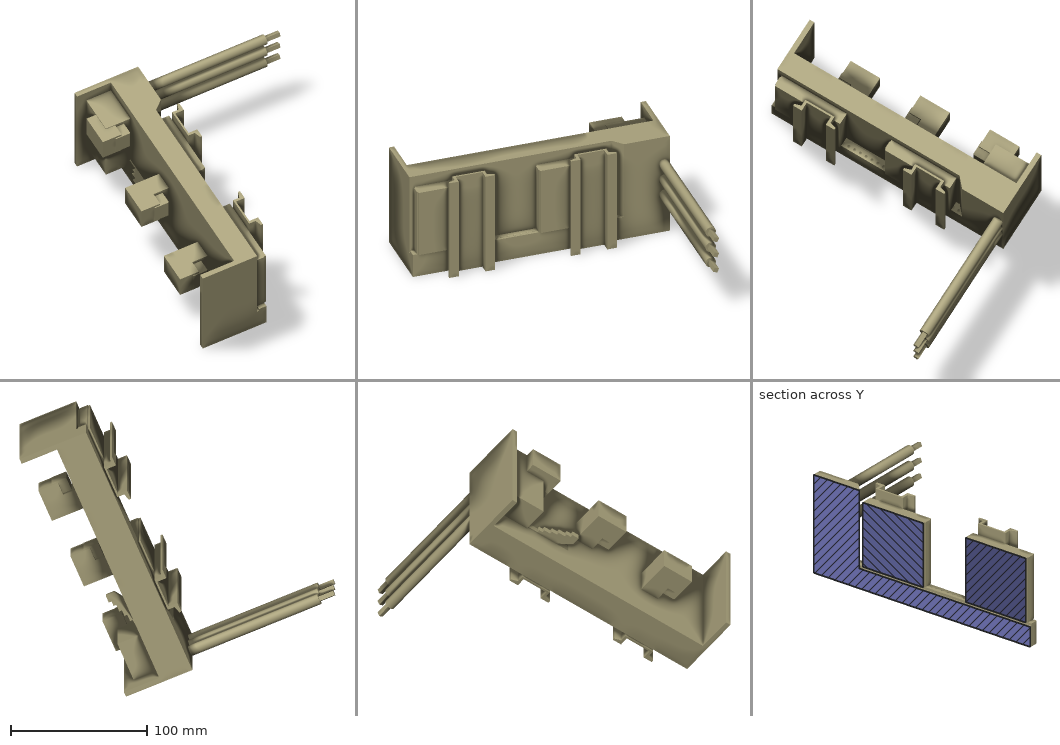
import cadquery as cq

LENGTH = 200.0
HEIGHT = 81.0
BACK_Y = 53.0
PANEL_FRONT_Y = 28.2
PANEL_BACK_Y = 45.2
SIDE_WALL = 4.0

RECESS_TOP_X = 35.5
RECESS_BOTTOM_X = 42.5

MID_BOTTOM_Z = 18.8
MID_TOP_Z = 72.0
BOX_END_X = 34.5
BOX_FRONT_Y = 7.8

GROOVE_WIDTH = 1.5
GROOVE_DEPTH = 2.0
HOLE_DIAMETER = 2.5
HOLE_DEPTH = 1.2
HOLE_PITCH = 5.0
HOLE_COUNT = 32
FIRST_HOLE_X = 40.0
HOLE_Y = 50.5

HOOK_FIRST_X = 18.8
HOOK_PITCH = 60.2
HOOK_BOTTOMS_Z = (53.5, 38.0, 24.0)
HOOK_WIDTH = 25.5
HOOK_HEIGHT = 18.0
HOOK_STEM_WIDTH = 15.2
HOOK_ARM_DEPTH = 15.5

PAD_GAP = 0.8
PAD_OVERHANG = 0.8
PAD_FRONT_Y = 10.5
PAD_BACK_Y = 22.5
PAD_INSET_Z = 1.5
PAD_FILLET = 1.0

LEVER_BOTTOM_Z = 20.5
LEVER_TOP_Z = 24.5
LEVER_STEP_XS = (43.5, 46.5, 51.8, 56.5, 62.0, 65.8)
LEVER_STEP_RISE = 2.2
LEVER_BASE_THICKNESS = 0.8
LEVER_END_X = 71.5
LEVER_SLANT_X = 60.8
LEVER_SLANT_Y = 21.0

POCKET_START_X = 60.0
POCKET_END_X = 72.5
POCKET_TOP_Z = 26.5
POCKET_DEPTH = 0.5

CARRIER_XS = (45.2, 140.0)
CARRIER_LENGTH = 56.2
CARRIER_BACK_Y = 54.5
CARRIER_RIB = 0.5

RAIL_CENTER_OFFSET = 17.5
RAIL_BACK_Y = 63.2
RAIL_HALF_WIDTH = 17.8
RAIL_HALF_OUTER = 12.5
RAIL_HALF_INNER = 10.5
RAIL_FLOOR = 1.5
RAIL_LIP_TIP = 1.5
RAIL_LIP_ROOT = 3.2

WIRE_DIAMETER = 8.0
WIRE_X = 4.5
WIRE_ZS = (32.0, 45.0, 58.0)
WIRE_INSULATION_END_Y = 156.2
WIRE_END_Y = 168.0
CORE_DIAMETER = 5.0
CORE_TILT = -22.0


def block(x0, x1, y0, y1, z0, z1):
    """Axis-aligned block between two opposite corners."""
    return cq.Workplane("XY").box(x1 - x0, y1 - y0, z1 - z0, centered=False).translate((x0, y0, z0))


def prism(points, z0, z1):
    """Outline in X and Y, extruded upward from z0 to z1."""
    return cq.Workplane("XY").workplane(offset=z0).polyline(points).close().extrude(z1 - z0)


def make_shell():
    """Panel with two side walls in front and a recess behind."""
    shell = block(0, LENGTH, 0, BACK_Y, 0, HEIGHT)
    shell = shell.cut(block(SIDE_WALL, LENGTH - SIDE_WALL, 0, PANEL_FRONT_Y, 0, HEIGHT))
    recess = [
        (RECESS_TOP_X, BACK_Y),
        (RECESS_BOTTOM_X, PANEL_BACK_Y),
        (LENGTH, PANEL_BACK_Y),
        (LENGTH, BACK_Y),
    ]
    return shell.cut(prism(recess, MID_BOTTOM_Z, HEIGHT))


def make_ledge_cuts():
    """Groove along the panel and a row of conical holes in the ledge."""
    groove = block(
        RECESS_BOTTOM_X, LENGTH,
        PANEL_BACK_Y, PANEL_BACK_Y + GROOVE_WIDTH,
        MID_BOTTOM_Z - GROOVE_DEPTH, MID_BOTTOM_Z,
    )
    cuts = [groove.val()]
    for i in range(HOLE_COUNT):
        center = cq.Vector(FIRST_HOLE_X + i * HOLE_PITCH, HOLE_Y, MID_BOTTOM_Z)
        cuts.append(cq.Solid.makeCone(HOLE_DIAMETER / 2, 0, HOLE_DEPTH, center, cq.Vector(0, 0, -1)))
    return cq.Workplane(cq.Compound.makeCompound(cuts))


def make_hook(x, z):
    """L-shaped hook with its clamping pad."""
    stem_end_x = x + HOOK_STEM_WIDTH
    arm_end_x = x + HOOK_WIDTH
    outline = [
        (x, 0),
        (arm_end_x, 0),
        (arm_end_x, HOOK_ARM_DEPTH),
        (stem_end_x, HOOK_ARM_DEPTH),
        (stem_end_x, PANEL_FRONT_Y),
        (x, PANEL_FRONT_Y),
    ]
    pad = block(
        stem_end_x + PAD_GAP, arm_end_x + PAD_OVERHANG,
        PAD_FRONT_Y, PAD_BACK_Y,
        z + PAD_INSET_Z, z + HOOK_HEIGHT - PAD_INSET_Z,
    )
    pad = pad.edges("|Z and >X and >Y").fillet(PAD_FILLET)
    return prism(outline, z, z + HOOK_HEIGHT).union(pad)


def make_lever():
    """Lever with a stepped front edge and a slanted rear edge."""
    step_y = PANEL_FRONT_Y - LEVER_BASE_THICKNESS
    outline = [(BOX_END_X, PANEL_FRONT_Y), (BOX_END_X, step_y)]
    for x in LEVER_STEP_XS:
        outline.append((x, step_y))
        step_y -= LEVER_STEP_RISE
        outline.append((x, step_y))
    outline += [(LEVER_END_X, step_y), (LEVER_END_X, LEVER_SLANT_Y), (LEVER_SLANT_X, PANEL_FRONT_Y)]
    return prism(outline, LEVER_BOTTOM_Z, LEVER_TOP_Z)


def make_pocket():
    """Volume of the shallow pocket behind the lever's end."""
    return block(
        POCKET_START_X, POCKET_END_X,
        PANEL_FRONT_Y, PANEL_FRONT_Y + POCKET_DEPTH,
        LEVER_BOTTOM_Z, POCKET_TOP_Z,
    )


def make_housing():
    housing = make_shell().cut(make_ledge_cuts()).cut(make_pocket())
    corner_box = block(SIDE_WALL, BOX_END_X, BOX_FRONT_Y, PANEL_FRONT_Y, MID_BOTTOM_Z, MID_TOP_Z)
    housing = housing.union(corner_box)
    for i, z in enumerate(HOOK_BOTTOMS_Z):
        housing = housing.union(make_hook(HOOK_FIRST_X + i * HOOK_PITCH, z))
    return housing.union(make_lever())


def make_carrier(x):
    """Flat carrier with a narrow rib on its end face."""
    end_x = x + CARRIER_LENGTH
    body = block(x, end_x, PANEL_BACK_Y, CARRIER_BACK_Y, MID_BOTTOM_Z, MID_TOP_Z)
    rib = block(
        end_x, end_x + CARRIER_RIB,
        PANEL_BACK_Y + GROOVE_WIDTH, BACK_Y,
        MID_BOTTOM_Z, MID_TOP_Z,
    )
    return body.union(rib)


def make_rail(center_x):
    """Hat-section rail running the full height."""
    right_half = [
        (RAIL_HALF_OUTER, CARRIER_BACK_Y),
        (RAIL_HALF_OUTER, RAIL_BACK_Y - RAIL_LIP_ROOT),
        (RAIL_HALF_WIDTH, RAIL_BACK_Y - RAIL_LIP_TIP),
        (RAIL_HALF_WIDTH, RAIL_BACK_Y),
        (RAIL_HALF_INNER, RAIL_BACK_Y),
        (RAIL_HALF_INNER, CARRIER_BACK_Y + RAIL_FLOOR),
    ]
    left_half = [(-x, y) for x, y in reversed(right_half)]
    return prism(right_half + left_half, 0, HEIGHT).translate((center_x, 0, 0))


def make_wire(z):
    """Insulated wire with a bare square core at its free end."""
    start = cq.Workplane("XZ", origin=(WIRE_X, BACK_Y, z))
    insulation = start.circle(WIRE_DIAMETER / 2).extrude(BACK_Y - WIRE_INSULATION_END_Y)
    core = (
        start.transformed(rotate=(0, 0, CORE_TILT))
        .polygon(4, CORE_DIAMETER)
        .extrude(BACK_Y - WIRE_END_Y)
    )
    return insulation.union(core)


housing = make_housing()
carriers = [make_carrier(x) for x in CARRIER_XS]
rails = [make_rail(x + RAIL_CENTER_OFFSET) for x in CARRIER_XS]
wires = [make_wire(z) for z in WIRE_ZS]

result = cq.Compound.makeCompound([body.val() for body in [housing, *carriers, *rails, *wires]])